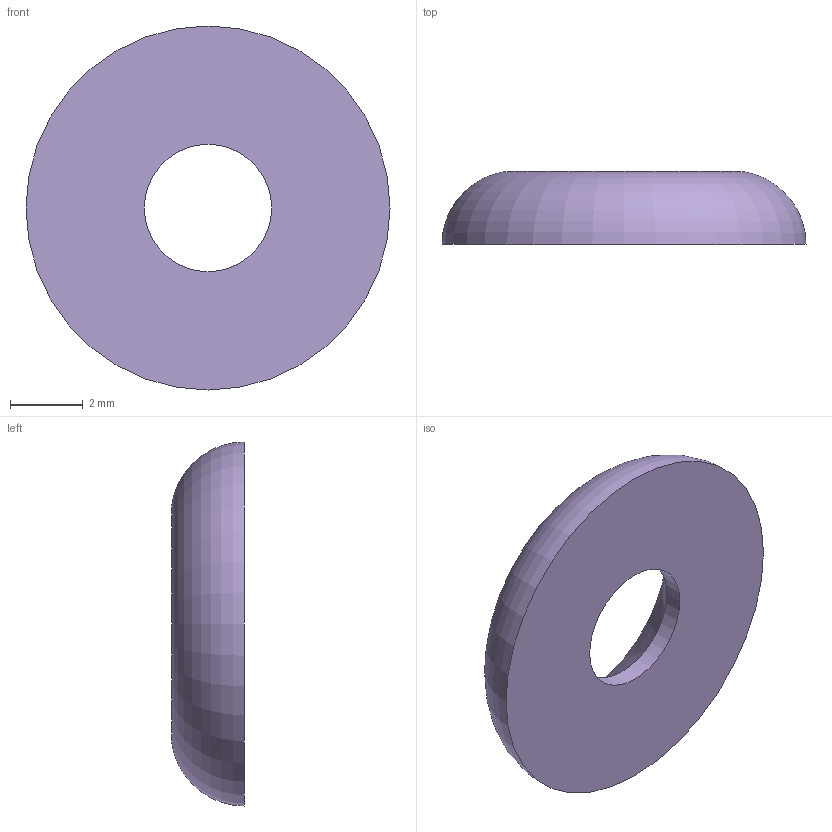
import cadquery as cq

outer_radius = 5.0
thickness = 2.0
hole_radius = 1.75
hole_length = 0.5
rim_radius = 3.25

rim_inset = outer_radius - rim_radius
side_radius = (rim_inset**2 + thickness**2) / (2 * rim_inset)


def half_section():
    """Half section in the XY plane: X is the radius, Y the axis, the flat face lies at Y = 0."""
    return (
        cq.Workplane("XY")
        .moveTo(hole_radius, 0)
        .lineTo(outer_radius, 0)
        .radiusArc((rim_radius, thickness), -side_radius)
        .lineTo(hole_radius, hole_length)
        .close()
    )


result = half_section().revolve(360, (0, 0, 0), (0, 1, 0))